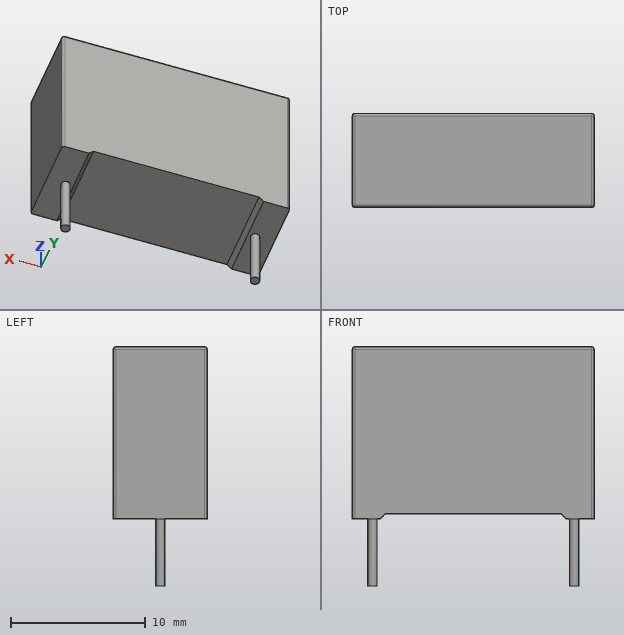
import cadquery as cq

body_length = 18.0
body_width = 7.0
body_height = 12.8
edge_radius = 0.2

recess_depth = 0.36
recess_mouth_length = 13.8
recess_roof_length = recess_mouth_length - 2 * recess_depth

lead_diameter = 0.7
lead_spacing = 15.0
lead_length = 5.0


def make_body():
    """Box standing on Z = 0 with rounded vertical and top edges."""
    box = cq.Workplane("XY").box(body_length, body_width, body_height, centered=(True, True, False))
    return box.edges("|Z or >Z").fillet(edge_radius)


def make_recess():
    """Trapezoidal bar through the full width."""
    return (
        cq.Workplane("XZ")
        .moveTo(-recess_mouth_length / 2, 0)
        .lineTo(-recess_roof_length / 2, recess_depth)
        .lineTo(recess_roof_length / 2, recess_depth)
        .lineTo(recess_mouth_length / 2, 0)
        .close()
        .extrude(body_width / 2, both=True)
    )


def make_leads():
    """Two round leads hanging from the feet."""
    return (
        cq.Workplane("XY")
        .pushPoints([(side * lead_spacing / 2, 0) for side in (-1, 1)])
        .circle(lead_diameter / 2)
        .extrude(-lead_length)
    )


result = make_body().cut(make_recess()).union(make_leads())